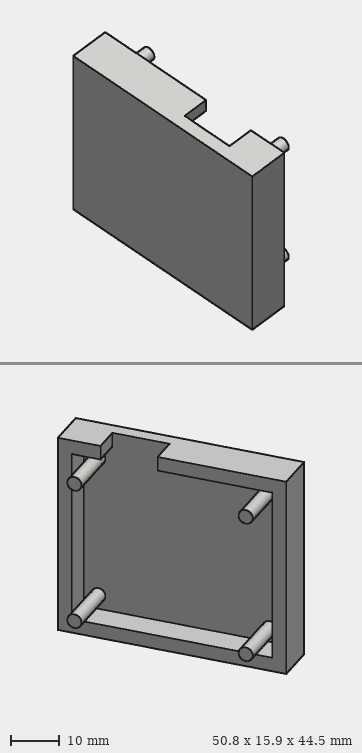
import cadquery as cq

width = 50.8
height = 44.45
total_depth = 15.9
post_projection = 6.35
tray_depth = total_depth - post_projection
cavity_depth = 6.35
floor_thickness = tray_depth - cavity_depth
wall = 3.15

post_diameter = 3.15
post_inset = 6.35
post_length = cavity_depth + post_projection

notch_left = 28.6
notch_width = 12.7


def make_block(size_x, size_y, size_z, corner):
    return cq.Workplane("XY").box(size_x, size_y, size_z, centered=False).translate(corner)


def make_tray():
    body = make_block(width, tray_depth, height, (0, 0, 0))
    cavity = make_block(
        width - 2 * wall, cavity_depth, height - 2 * wall, (wall, floor_thickness, wall)
    )
    notch = make_block(
        notch_width, cavity_depth, wall, (notch_left, floor_thickness, height - wall)
    )
    return body.cut(cavity).cut(notch)


def make_post(x, z):
    return (
        cq.Workplane("XZ", origin=(x, floor_thickness, z))
        .circle(post_diameter / 2)
        .extrude(-post_length)
    )


result = make_tray()
for post_x in (post_inset, width - post_inset):
    for post_z in (post_inset, height - post_inset):
        result = result.union(make_post(post_x, post_z))